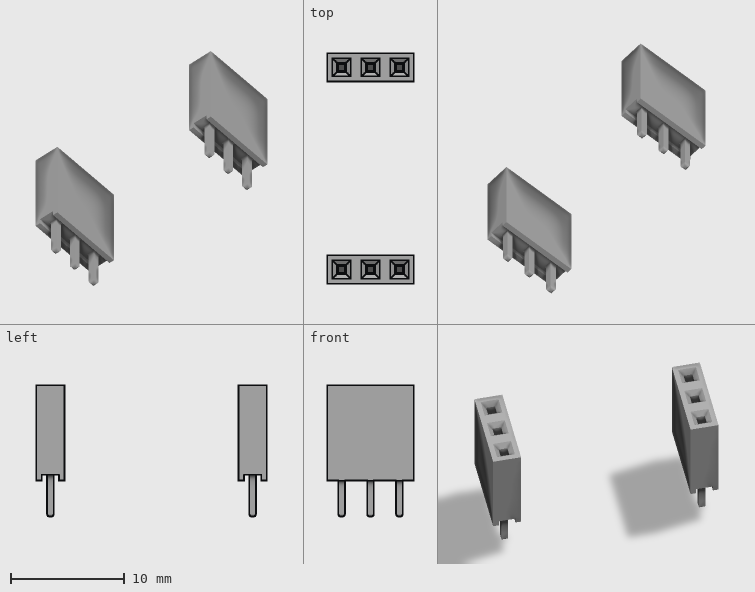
import cadquery as cq

overall_depth = 20.28
overall_height = 11.55
pins_per_strip = 3

housing_width = 7.63
housing_depth = 2.51
housing_height = 8.4
pin_pitch = housing_width / pins_per_strip
strip_spacing = overall_depth - housing_depth

slot_width = 1.5
slot_height = 0.5

mouth_size = 1.6
hole_size = 0.8
mouth_depth = 0.4

pin_size = 0.6
pin_tip_radius = 0.26
pin_engagement = housing_height / 2
pin_overhang = overall_height - housing_height

strip_ys = [-strip_spacing / 2, strip_spacing / 2]
pin_xs = [(i - (pins_per_strip - 1) / 2) * pin_pitch for i in range(pins_per_strip)]


def make_cavity(x):
    """Cutter for one pin cavity of a housing centred on Y = 0."""
    hole = (
        cq.Workplane("XY")
        .center(x, 0)
        .rect(hole_size, hole_size)
        .extrude(housing_height)
    )
    mouth = (
        cq.Workplane("XY", origin=(x, 0, housing_height))
        .rect(mouth_size, mouth_size)
        .workplane(offset=-mouth_depth)
        .rect(hole_size, hole_size)
        .loft(ruled=True)
    )
    return hole.union(mouth)


def make_housing(y):
    """Housing block with an underside slot and a row of pin cavities."""
    block = cq.Workplane("XY").box(
        housing_width, housing_depth, housing_height, centered=(True, True, False)
    )
    slot = cq.Workplane("XY").box(
        housing_width, slot_width, slot_height, centered=(True, True, False)
    )
    housing = block.cut(slot)
    for x in pin_xs:
        housing = housing.cut(make_cavity(x))
    return housing.translate((0, y, 0))


def make_pin(x, y):
    """Square pin with a rounded lower tip, standing clear of the hole walls."""
    return (
        cq.Workplane("XY", origin=(x, y, -pin_overhang))
        .rect(pin_size, pin_size)
        .extrude(pin_overhang + pin_engagement)
        .faces("<Z")
        .edges()
        .fillet(pin_tip_radius)
    )


housings = [make_housing(y) for y in strip_ys]
pins = [make_pin(x, y) for y in strip_ys for x in pin_xs]

result = cq.Compound.makeCompound([body.val() for body in housings + pins])